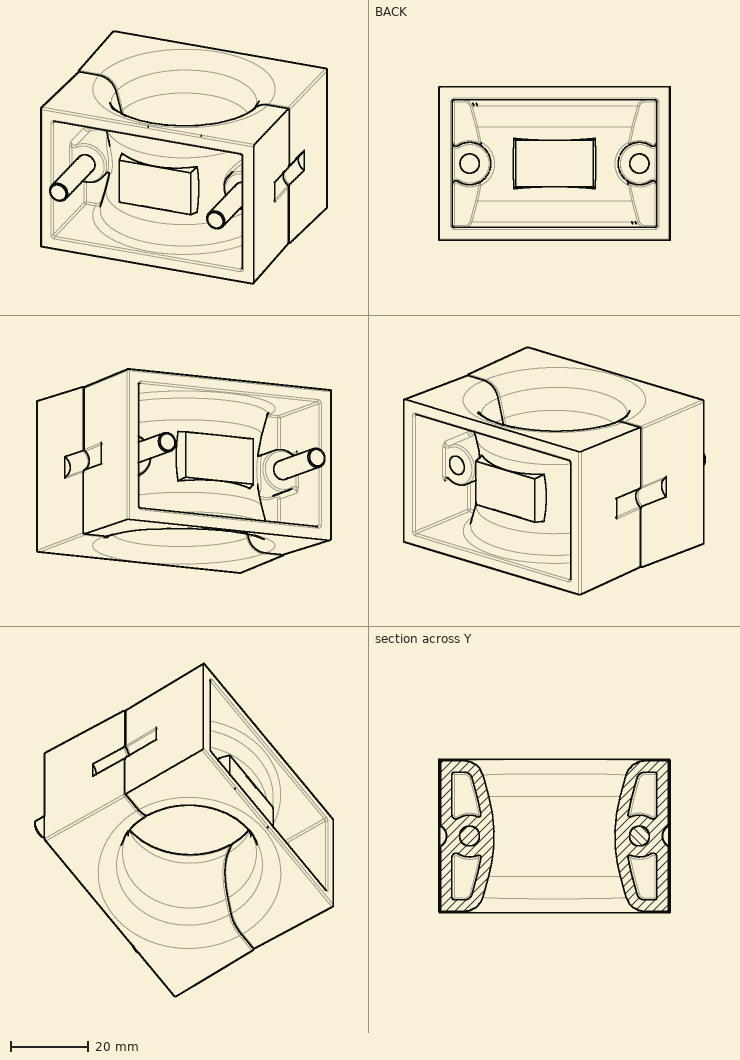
import cadquery as cq
import math

parting_width = 59.0
parting_height = 39.0
half_depth = 25.0
draft = 1.0
edge_radius = 0.5
wall = 3.0

throat_radius = 16.0
throat_arc_radius = 40.0
cone_angle = 15.0
mouth_radius = 5.0

cavity_width = parting_width - 2 * wall
cavity_height = parting_height - 2 * wall
cavity_fillet = 0.5
tube_root_radius = mouth_radius - wall

bolt_x = 22.0
bolt_diameter = 5.0
bolt_chamfer = 0.3
bolt_protrusion = 7.0
boss_radius = 5.5
boss_height = 10.0
boss_face_depth = wall + boss_height
boss_wall_fillet = 1.0

plate_width = 20.0
plate_height = 12.0
plate_face_depth = 19.6
plate_draft = 10.0

groove_length = 20.0
groove_radius = 3.0
groove_depth = 1.5

half_width = parting_width / 2
half_height = parting_height / 2
open_half_width = half_width + half_depth * math.tan(math.radians(draft))
open_half_height = half_height + half_depth * math.tan(math.radians(draft))


def edges_near(body, points):
    """For each point, the edge of the body whose centre is nearest to it."""
    return [body.edges(cq.selectors.NearestToPointSelector(point)).val() for point in points]


def fillet_near(body, radius, points):
    return cq.Workplane(body.val().fillet(radius, edges_near(body, points)))


def drafted_block(width, height, depth, angle):
    """Block from Y = 0 to Y = -depth whose four sides widen toward -Y by the angle."""
    growth = 2 * depth * math.tan(math.radians(angle))
    return (
        cq.Workplane("XZ")
        .rect(width, height)
        .workplane(offset=depth)
        .rect(width + growth, height + growth)
        .loft(ruled=True)
    )


def waisted_core(waist_radius, arc_radius):
    """Solid of revolution about Z: a waist arc with a tangent cone above and below."""
    angle = math.radians(cone_angle)
    arc_z = arc_radius * math.sin(angle)
    arc_r = waist_radius + arc_radius * (1 - math.cos(angle))
    end_z = parting_height
    end_r = arc_r + (end_z - arc_z) * math.tan(angle)
    outline = (
        cq.Workplane("XZ")
        .moveTo(0, -end_z)
        .lineTo(end_r, -end_z)
        .lineTo(arc_r, -arc_z)
        .threePointArc((waist_radius, 0), (arc_r, arc_z))
        .lineTo(end_r, end_z)
        .lineTo(0, end_z)
        .close()
    )
    return outline.revolve(360, (0, 0, 0), (0, 1, 0))


def boss(side):
    """Boss with a rounded rim; a slab inside the side wall lets it blend into that wall."""
    slab_x = side * (cavity_width + wall) / 2
    slab = cq.Workplane("XZ", origin=(slab_x, -wall, 0)).rect(wall, 4 * boss_radius).extrude(boss_height)
    post = cq.Workplane("XZ", origin=(side * bolt_x, -wall, 0)).circle(boss_radius).extrude(boss_height)
    joined = post.union(slab)
    corner_y = -wall - boss_height / 2
    corners = [(side * cavity_width / 2, corner_y, z) for z in (-boss_radius, boss_radius)]
    joined = fillet_near(joined, boss_wall_fillet, corners)
    rim = [(side * (bolt_x - boss_radius), -boss_face_depth, 0)]
    return fillet_near(joined, cavity_fillet, rim)


def name_plate():
    """Plate that grows from its face toward the bore axis by its own draft."""
    growth = 2 * plate_face_depth * math.tan(math.radians(plate_draft))
    return drafted_block(plate_width + growth, plate_height + growth, plate_face_depth, -plate_draft)


def cavity():
    """Everything removed from behind the tube, with its inside corners rounded."""
    void = (
        cq.Workplane("XZ", origin=(0, -wall, 0))
        .rect(cavity_width, cavity_height)
        .extrude(half_depth - wall)
    )
    tube_radius = throat_radius + wall
    void = void.cut(waisted_core(tube_radius, throat_arc_radius - wall))
    void = fillet_near(void, tube_root_radius, [(0, -tube_radius, z) for z in (-half_height, half_height)])
    for side in (-1, 1):
        void = void.cut(boss(side))
    void = void.cut(name_plate())

    corners = void.faces(">Y").edges().vals()
    for side in (-1, 1):
        boss_to_tube = (side * (bolt_x - boss_radius), -2 * wall, 0)
        boss_face_to_wall = (side * cavity_width / 2, -boss_face_depth, 0)
        corners += edges_near(void, [boss_to_tube, boss_face_to_wall])
        mid_depth = (wall + half_depth) / 2
        wall_corners = [(side * cavity_width / 2, -mid_depth, z) for z in (-cavity_height / 2, cavity_height / 2)]
        corners += edges_near(void, wall_corners)
    return cq.Workplane(void.val().fillet(cavity_fillet, corners))


def side_groove(side):
    axis_x = side * (half_width - groove_depth + groove_radius)
    return cq.Workplane("XZ", origin=(axis_x, 0, 0)).circle(groove_radius).extrude(groove_length / 2)


def round_outer_edges(block):
    """Round the parting edges and some outside edges; the remaining outside edges stay sharp."""
    points = [
        (-open_half_width, -half_depth, 0),
        (0, -half_depth, open_half_height),
    ]
    for side in (-1, 1):
        x = side * half_width
        z = -side * half_height
        points += [(x, 0, half_height), (x, 0, -half_height)]
        points += [(x, 0, z / 2), (x, -half_depth / 2, z)]
        points += [(x, 0, 0), (x, -groove_length / 4, -side * groove_radius)]
    return fillet_near(block, edge_radius, points)


def clamp_half():
    """The half on the -Y side."""
    block = drafted_block(parting_width, parting_height, half_depth, draft)
    block = block.cut(waisted_core(throat_radius, throat_arc_radius))
    block = fillet_near(block, mouth_radius, [(0, -throat_radius, z) for z in (-half_height, half_height)])
    for side in (-1, 1):
        block = block.cut(side_groove(side))
    block = round_outer_edges(block)

    block = block.cut(cavity())
    half_x = cavity_width / 2
    half_z = cavity_height / 2
    opening = [(x, -half_depth, 0) for x in (-half_x, half_x)]
    opening += [(0, -half_depth, z) for z in (-half_z, half_z)]
    block = fillet_near(block, cavity_fillet, opening)

    for side in (-1, 1):
        hole = cq.Workplane("XZ", origin=(side * bolt_x, 0, 0)).circle(bolt_diameter / 2).extrude(half_depth)
        block = block.cut(hole)
    return block


def bolt(side):
    """Plain round bolt from the boss face of the rear half out past the front opening."""
    length = boss_face_depth + half_depth + bolt_protrusion
    return (
        cq.Workplane("XZ", origin=(side * bolt_x, boss_face_depth, 0))
        .circle(bolt_diameter / 2)
        .extrude(length)
        .faces("<Y")
        .chamfer(bolt_chamfer)
    )


front_half = clamp_half()
rear_half = front_half.rotate((0, 0, 0), (1, 0, 0), 180)
bolts = [bolt(side) for side in (-1, 1)]

result = cq.Compound.makeCompound(
    [
        front_half.val(),
        rear_half.val(),
        *[body.val() for body in bolts],
    ]
)